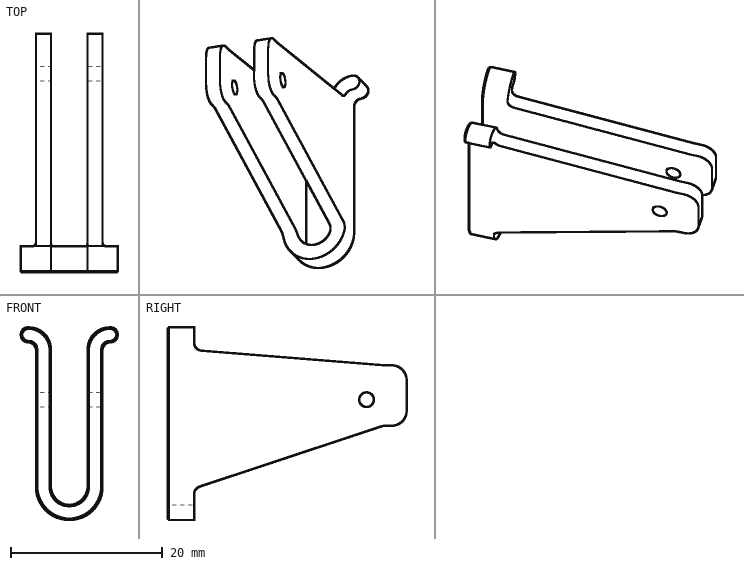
import cadquery as cq
import math

strip_thickness = 2.0
outer_bend_radius = 4.4
inner_bend_radius = outer_bend_radius - strip_thickness
straight_height = 18.0
lip_inner_radius = 1.0
lip_outer_radius = lip_inner_radius + strip_thickness
tip_radius = strip_thickness / 2
edge_chamfer = 0.2

bend_top = outer_bend_radius
lip_base = bend_top + straight_height
total_height = lip_base + lip_outer_radius

total_length = 31.5
band_depth = 3.5
rear_bottom = 12.4
rear_height = 8.0
rear_top = rear_bottom + rear_height
rear_corner_radius = 2.0
upper_flat_length = 3.0
lower_flat_length = 3.1
lower_taper_end = 4.15
band_fillet = 1.0
flat_blend_radius = 2.0

hole_diameter = 1.9
hole_from_rear = 5.3
hole_height = 15.85


def arc_point(center_x, center_z, radius, degrees):
    """Point on a circle, with the angle measured from +X towards +Z."""
    angle = math.radians(degrees)
    return (center_x + radius * math.cos(angle), center_z + radius * math.sin(angle))


def make_bent_strip():
    """U-shaped strip with curled lips, extruded over the whole length from Y = 0."""
    lip_center = outer_bend_radius + lip_inner_radius
    tip_middle = lip_base + lip_inner_radius + tip_radius
    outline = (
        cq.Workplane("XZ")
        .moveTo(-outer_bend_radius, bend_top)
        .threePointArc((0, 0), (outer_bend_radius, bend_top))
        .lineTo(outer_bend_radius, lip_base)
        .threePointArc(
            arc_point(lip_center, lip_base, lip_inner_radius, 135),
            (lip_center, lip_base + lip_inner_radius),
        )
        .threePointArc((lip_center + tip_radius, tip_middle), (lip_center, total_height))
        .threePointArc(
            arc_point(lip_center, lip_base, lip_outer_radius, 135),
            (inner_bend_radius, lip_base),
        )
        .lineTo(inner_bend_radius, bend_top)
        .threePointArc((0, strip_thickness), (-inner_bend_radius, bend_top))
        .lineTo(-inner_bend_radius, lip_base)
        .threePointArc(
            arc_point(-lip_center, lip_base, lip_outer_radius, 45),
            (-lip_center, total_height),
        )
        .threePointArc(
            (-lip_center - tip_radius, tip_middle),
            (-lip_center, lip_base + lip_inner_radius),
        )
        .threePointArc(
            arc_point(-lip_center, lip_base, lip_inner_radius, 45),
            (-outer_bend_radius, lip_base),
        )
        .close()
    )
    strip = outline.extrude(-total_length)
    return strip.faces("<Y").chamfer(edge_chamfer)


def rounded_corner(before, corner, after, radius):
    """Start, middle and end of the arc that rounds a corner between two straight lines."""
    to_before = (cq.Vector(*before) - cq.Vector(*corner)).normalized()
    to_after = (cq.Vector(*after) - cq.Vector(*corner)).normalized()
    half_angle = to_before.getAngle(to_after) / 2
    tangent_length = radius / math.tan(half_angle)
    middle_distance = radius / math.sin(half_angle) - radius
    bisector = (to_before + to_after).normalized()
    start = cq.Vector(*corner) + to_before * tangent_length
    middle = cq.Vector(*corner) + bisector * middle_distance
    end = cq.Vector(*corner) + to_after * tangent_length
    return [(point.x, point.y) for point in (start, middle, end)]


def make_side_envelope():
    """Block with the side outline, wide enough to contain the whole strip."""
    strip_width = 2 * (outer_bend_radius + lip_inner_radius + tip_radius)
    width = strip_width + 2 * strip_thickness
    corners = [
        (0, 0, 0),
        (band_depth, 0, 0),
        (band_depth, lower_taper_end, band_fillet),
        (total_length - lower_flat_length, rear_bottom, flat_blend_radius),
        (total_length, rear_bottom, rear_corner_radius),
        (total_length, rear_top, rear_corner_radius),
        (total_length - upper_flat_length, rear_top, flat_blend_radius),
        (band_depth, lip_base, band_fillet),
        (band_depth, total_height, 0),
        (0, total_height, 0),
    ]
    outline = cq.Workplane("YZ", origin=(-width / 2, 0, 0)).moveTo(0, 0)
    for before, corner, after in zip(corners, corners[1:], corners[2:]):
        radius = corner[2]
        if radius:
            start, middle, end = rounded_corner(before[:2], corner[:2], after[:2], radius)
            outline = outline.lineTo(*start).threePointArc(middle, end)
        else:
            outline = outline.lineTo(*corner[:2])
    return outline.lineTo(*corners[-1][:2]).close().extrude(width)


def make_cross_hole():
    """Cylinder along X that pierces both arms."""
    return (
        cq.Workplane("YZ")
        .center(total_length - hole_from_rear, hole_height)
        .circle(hole_diameter / 2)
        .extrude(2 * outer_bend_radius, both=True)
    )


result = make_bent_strip().intersect(make_side_envelope()).cut(make_cross_hole())